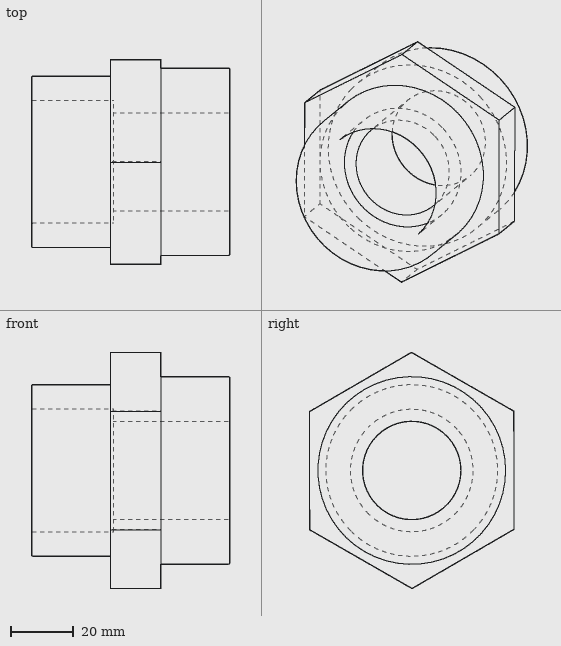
import cadquery as cq

hex_across_corners = 75.05
hex_width = 16.1
corner_angle = 90
hex_tilt = 0.14

left_diameter = 54.6
left_length = 25.0
right_diameter = 59.6
right_length = 21.9
edge_radius = 0.5

socket_diameter = 38.95
socket_depth = 26.0
passage_diameter = 31.15

total_length = left_length + hex_width + right_length
hex_start = left_length
hex_end = hex_start + hex_width


def cylinder(diameter, start, length):
    """Solid cylinder along +X, beginning at x = start."""
    return cq.Workplane("YZ", origin=(start, 0, 0)).circle(diameter / 2).extrude(length)


def hex_collar():
    """Hexagonal prism with corners at the top and bottom, turned by the small tilt."""
    return (
        cq.Workplane("YZ", origin=(hex_start, 0, 0))
        .polygon(6, hex_across_corners)
        .extrude(hex_width)
        .rotate((0, 0, 0), (1, 0, 0), corner_angle + hex_tilt)
    )


left_sleeve = cylinder(left_diameter, 0, left_length).faces("<X").fillet(edge_radius)
right_sleeve = cylinder(right_diameter, hex_end, right_length).faces(">X").fillet(edge_radius)
body = hex_collar().union(left_sleeve).union(right_sleeve)

socket = cylinder(socket_diameter, 0, socket_depth)
passage = cylinder(passage_diameter, 0, total_length)
bored = body.cut(socket).cut(passage)

mouth_edge = cq.selectors.RadiusNthSelector(0)
result = bored.faces("<X").edges(mouth_edge).fillet(edge_radius)